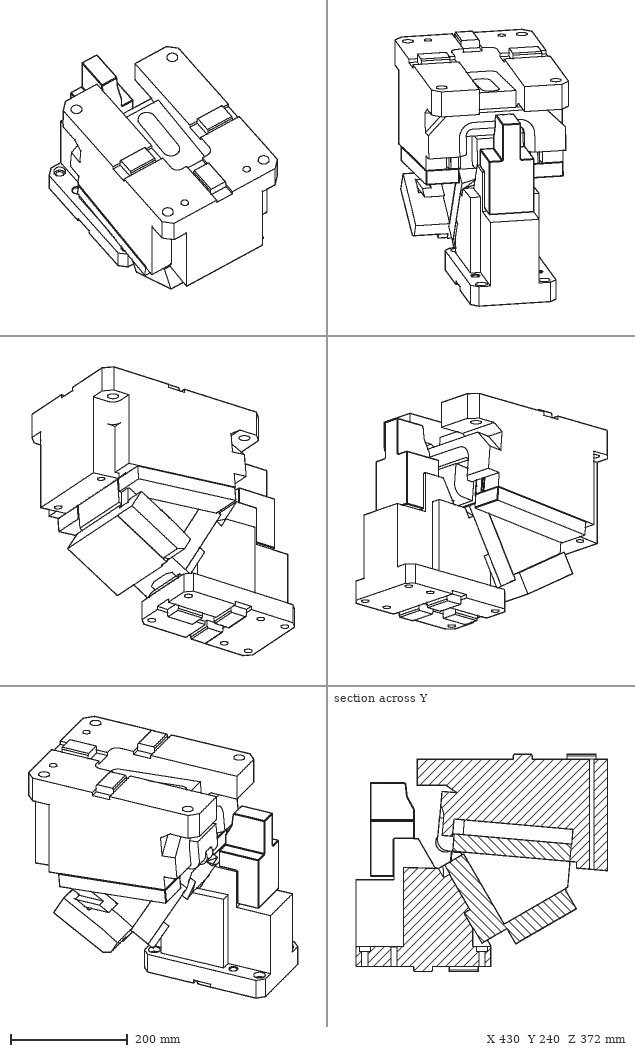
import cadquery as cq
import math

SLIDE_TILT = math.radians(5)
RAMP_TILT = math.radians(60)
THROUGH = 860

TOTAL_HEIGHT = 372.0

KEY_LENGTH = 50.5
KEY_WIDTH = 32.5
KEY_PROUD = 8.5
KEY_SEAT_DEPTH = 6.0
KEY_BEVEL = 1.7
KEY_BEVEL_HEIGHT = 3.0

FOOT_LENGTH = 230.5
FOOT_HALF = 75.0
FOOT_TOP = 43.5
FOOT_CORNER = 12.0
COLUMN_HALF = 42.5
CHEEK_HALF = 60.0
CHEEK_LEFT = 81.0
CHEEK_RIGHT = 200.0
CHEEK_TOP = 178.5
LEDGE_TOP = 157.5
STEP_X = 65.0
COLUMN_TOP = 227.5
COLUMN_TOP_RIGHT = 106.5
CROSS_KEY_X = 115.0
CROSS_KEY_INNER = 10.5
LONG_KEY_X = 159.0
FOOT_BOLT_INSET = 15.0
FOOT_BOLT_Y = 55.0
FOOT_BOLT_D = 13.5
FOOT_BORE_D = 19.8
FOOT_BORE_DEPTH = 8.5
FOOT_DOWEL_X = 65.0
FOOT_DOWEL_D = 13.0
FOOT_DOWEL_CHAMFER = 1.5

ANVIL_LEFT = 24.5
ANVIL_RIGHT = 99.8
ANVIL_BOTTOM = 163.0
ANVIL_SHOULDER = 258.5
ANVIL_TOP = 323.5
ANVIL_SLOPE_FOOT = 277.5
ANVIL_BEND = (87.7, 299.3)
ANVIL_BROW = (85.0, 322.0)
ANVIL_TOP_RIGHT = 80.5
ANVIL_HALF = 39.5
STEM_HALF = 16.0
ANVIL_CHAMFER = 1.5

RAMP_X = 151.0
RAMP_Z = 182.5
RELIEF_DEPTH = 11.5
RELIEF_INNER = 31.5
UPPER_RELIEF_END = 18.5
LOWER_RELIEF_START = 88.5
RIDGE_HALF = 18.0
RIDGE_HEIGHT = 13.5
RAMP_LENGTH = 148.0

SLAB_THICKNESS = 38.3
SLAB_HALF = 59.8
WEDGE_HALF = 59.0
TUNNEL_HALF = 60.0
RISER_FRONT = 17.5
RISER_TOP = 55.0
WING_HALF = 79.0
WING_SETBACK = 2.0
WING_PAD_INNER = 62.8
WING_PAD_OUTER = 76.0
WING_HEIGHT = 30.0
GUIDE_LENGTH = 204.0
TAIL_U = 138.5
TAIL_END_U = 178.0
TAIL_END_V = 158.2
BRACKET_SIDE = 118.2
BRACKET_END_U = 177.0
BRACKET_BEVEL = 10.8
BRACKET_RAKE_U = 2.5
BRACKET_RAKE_V = 34.0
LIP_START_U = 167.3
LIP_SETBACK = 1.7
PUNCH_HALF = 35.3
PUNCH_REACH = 25.5
PUNCH_ROUND = 19.5
BUMP_HALF = 10.8
BUMP_R = 16.8
BUMP_PROUD = 2.5

GUIDE_X = 163.0
GUIDE_Z = 206.0
HOLDER_LEFT = 104.5
HOLDER_RIGHT = 430
HOLDER_HALF = 120.0
HOLDER_TOP = TOTAL_HEIGHT - KEY_PROUD
FLANGE_BOTTOM = 318.5
FLANGE_CORNER = 14.5
GUSSET_X = 153.5
BODY_RIGHT = 384.5
NOSE_REACH = 25.0
NOSE_BOTTOM = 25.5
NOSE_TOP = 100.5
NOSE_CORNER = 34.5
BACK_WALL_LEFT = 376.5
BACK_WALL_HALF = 79.0
BACK_WALL_BOTTOM = -10.5
WEB_R = 16.5
WEB_BOTTOM = 275.0
ROOF = 130.0
POCKET_HALF = 39.5
POCKET_RIGHT = 339.5
POCKET_FILLET = 13.0
SLOT_START = 8.0
SLOT_END = 109.5
SLOT_WIDTH = 30.5
MOUTH_HALF = 66.0
MOUTH_TOP = 84.3
MOUTH_ROUND = 26.2
MOUTH_FLARE = 15.0
WING_SLOT_HALF = 84.0
KEEPER_INNER = 62.0
KEEPER_THICKNESS = 25.5
KEEPER_CHAMFER = 1.5
HOLDER_CROSS_KEY_X = 285.0
HOLDER_CROSS_KEY_INNER = 55.0
HOLDER_LONG_KEY_X = 360.5
BOLT_X = (130.0, 403.5)
BOLT_Y = 99.8
BOLT_D = 18.5
DOWEL_Y = 64.5
DOWEL_D = 12.5

HOOK_RIGHT = 359.0
HOOK_FRONT = 357.0
HOOK_ROOT = 164.3
HOOK_SIDE = 81.3
HOOK_TOE = 96.8
HOOK_TOE_TOP = 131.0
HOOK_BOTTOM = 121.0
HOOK_GAP = 2.5


def ramp(u, v):
    """XZ point at distance u down the ramp and v out of it."""
    c, s = math.cos(RAMP_TILT), math.sin(RAMP_TILT)
    return RAMP_X + u * c + v * s, RAMP_Z - u * s + v * c


def guide(p, q):
    """XZ point at distance p along the holder guide and q above it."""
    c, s = math.cos(SLIDE_TILT), math.sin(SLIDE_TILT)
    return GUIDE_X + p * c + q * s, GUIDE_Z - p * s + q * c


def crossing(a, b, c, d):
    """Point where the line through a and b meets the line through c and d."""
    abx, abz = b[0] - a[0], b[1] - a[1]
    cdx, cdz = d[0] - c[0], d[1] - c[1]
    t = ((c[0] - a[0]) * cdz - (c[1] - a[1]) * cdx) / (abx * cdz - abz * cdx)
    return a[0] + t * abx, a[1] + t * abz


def plate(points, y_from, y_to):
    """XZ outline extruded between two Y positions."""
    return cq.Workplane("XZ", origin=(0, y_from, 0)).polyline(points).close().extrude(y_from - y_to)


def sheet(points, half):
    return plate(points, -half, half)


def along_ramp(outline, u_from, u_to):
    """Outline in Y and v, extruded down the ramp between two u positions."""
    x, z = ramp(u_from, 0)
    plane = cq.Plane(origin=(x, 0, z), xDir=(0, 1, 0),
                     normal=(math.cos(RAMP_TILT), 0, -math.sin(RAMP_TILT)))
    return cq.Workplane(plane).polyline(outline).close().extrude(u_to - u_from)


def block(x_from, x_to, y_from, y_to, z_from, z_to):
    size = (x_to - x_from, y_to - y_from, z_to - z_from)
    return cq.Workplane("XY").box(*size, centered=False).translate((x_from, y_from, z_from))


def rectangle(frame, a_from, a_to, b_from, b_to):
    """Four XZ corners of a rectangle in the ramp or the guide frame."""
    return [frame(a_from, b_from), frame(a_to, b_from), frame(a_to, b_to), frame(a_from, b_to)]


def key():
    """Locating key, lengthwise in X, centred in plan, with its seat at z = -KEY_SEAT_DEPTH."""
    half = KEY_WIDTH / 2
    top = half - KEY_BEVEL
    shoulder = KEY_PROUD - KEY_BEVEL_HEIGHT
    outline = [
        (-half, -KEY_SEAT_DEPTH), (half, -KEY_SEAT_DEPTH), (half, shoulder),
        (top, KEY_PROUD), (-top, KEY_PROUD), (-half, shoulder),
    ]
    return (
        cq.Workplane("YZ", origin=(-KEY_LENGTH / 2, 0, 0)).polyline(outline).close().extrude(KEY_LENGTH)
    )


def add_keys(body, cross_x, cross_inner, long_x, seat_left, right, half, face_z, upward):
    """Cut the key seats into a mounting face and set two crosswise keys and one lengthwise key."""
    seat = KEY_WIDTH / 2
    depth = -KEY_SEAT_DEPTH if upward else KEY_SEAT_DEPTH
    low, high = sorted((face_z, face_z + depth))
    body = body.cut(block(cross_x - seat, cross_x + seat, -half, half, low, high))
    body = body.cut(block(seat_left, right, -seat, seat, low, high))
    shape = key() if upward else key().rotate((0, 0, 0), (1, 0, 0), 180)
    body = body.union(shape.translate((long_x + KEY_LENGTH / 2, 0, face_z)))
    crosswise = shape.rotate((0, 0, 0), (0, 0, 1), 90)
    for side in (-1, 1):
        body = body.union(crosswise.translate((cross_x, side * (cross_inner + KEY_LENGTH / 2), face_z)))
    return body


def make_foot():
    foot = block(0, FOOT_LENGTH, -FOOT_HALF, FOOT_HALF, KEY_PROUD, FOOT_TOP)
    foot = foot.edges("|Z").chamfer(FOOT_CORNER)
    bolts = [(x, y) for x in (FOOT_BOLT_INSET, FOOT_LENGTH - FOOT_BOLT_INSET)
             for y in (-FOOT_BOLT_Y, FOOT_BOLT_Y)]
    foot = (
        foot.faces(">Z").workplane(origin=(0, 0, FOOT_TOP)).pushPoints(bolts)
        .cboreHole(FOOT_BOLT_D, FOOT_BORE_D, FOOT_BORE_DEPTH)
    )
    dowels = [(FOOT_DOWEL_X, y) for y in (-FOOT_BOLT_Y, FOOT_BOLT_Y)]
    foot = (
        foot.faces(">Z").workplane(origin=(0, 0, FOOT_TOP)).pushPoints(dowels)
        .cskHole(FOOT_DOWEL_D, FOOT_DOWEL_D + 2 * FOOT_DOWEL_CHAMFER, 90)
    )
    return add_keys(foot, CROSS_KEY_X, CROSS_KEY_INNER, LONG_KEY_X, CROSS_KEY_X,
                    FOOT_LENGTH, FOOT_HALF, KEY_PROUD, upward=False)


def make_ridge():
    """Ridge that guides the slide along the ramp, with sides sloping out to the cheeks."""
    outline = [
        (-CHEEK_HALF, 0), (-RIDGE_HALF, RIDGE_HEIGHT), (RIDGE_HALF, RIDGE_HEIGHT), (CHEEK_HALF, 0),
    ]
    return along_ramp(outline, 0, RAMP_LENGTH)


def relief(side, u_from, u_to):
    """Strip along one side of the ramp, with its floor parallel to the side of the ridge."""
    rise = RIDGE_HEIGHT * (CHEEK_HALF - RELIEF_INNER) / (CHEEK_HALF - RIDGE_HALF)
    outline = [
        (side * CHEEK_HALF, -RELIEF_DEPTH), (side * RELIEF_INNER, rise - RELIEF_DEPTH),
        (side * RELIEF_INNER, rise), (side * CHEEK_HALF, 0),
    ]
    return along_ramp(outline, u_from, u_to)


def upper_relief(side):
    """Relief at the upper end of the ramp, its end wall running obliquely out to the cheek."""
    x, z = ramp(0, -RELIEF_DEPTH)
    plane = cq.Plane(origin=(x, 0, z), xDir=(0, 1, 0),
                     normal=(math.sin(RAMP_TILT), 0, math.cos(RAMP_TILT)))
    outline = [(side * RELIEF_INNER, 0), (side * CHEEK_HALF, 0), (side * CHEEK_HALF, -UPPER_RELIEF_END)]
    corner = cq.Workplane(plane).polyline(outline).close().extrude(RELIEF_DEPTH + RIDGE_HEIGHT)
    return relief(side, 0, UPPER_RELIEF_END).intersect(corner)


def lower_relief(side):
    return relief(side, LOWER_RELIEF_START, RAMP_LENGTH)


def make_column():
    foot_line = ((0, FOOT_TOP), (FOOT_LENGTH, FOOT_TOP))
    ramp_foot = crossing(ramp(0, 0), ramp(RAMP_LENGTH, 0), *foot_line)
    edge = [ramp(0, -RELIEF_DEPTH), ramp(0, 0), ramp_foot]
    slope_foot = COLUMN_TOP_RIGHT + (COLUMN_TOP - CHEEK_TOP) / math.tan(RAMP_TILT)
    column = sheet([
        (0, FOOT_TOP), (0, LEDGE_TOP), (STEP_X, LEDGE_TOP), (STEP_X, COLUMN_TOP),
        (COLUMN_TOP_RIGHT, COLUMN_TOP), (slope_foot, CHEEK_TOP), *edge,
    ], COLUMN_HALF)
    cheeks = sheet([(CHEEK_LEFT, FOOT_TOP), (CHEEK_LEFT, CHEEK_TOP), *edge], CHEEK_HALF)
    trim = block(CHEEK_LEFT, CHEEK_RIGHT, -CHEEK_HALF, CHEEK_HALF, FOOT_TOP, COLUMN_TOP)
    column = column.union(cheeks.intersect(trim)).union(make_ridge())
    for side in (-1, 1):
        column = column.cut(upper_relief(side)).cut(lower_relief(side))
    return column


def make_anvil():
    outline = [
        (ANVIL_LEFT, ANVIL_BOTTOM), (STEP_X, ANVIL_BOTTOM), (STEP_X, COLUMN_TOP),
        (ANVIL_RIGHT, COLUMN_TOP), (ANVIL_RIGHT, ANVIL_SLOPE_FOOT), ANVIL_BEND, ANVIL_BROW,
        (ANVIL_TOP_RIGHT, ANVIL_TOP), (ANVIL_LEFT, ANVIL_TOP),
    ]
    anvil = sheet(outline, ANVIL_HALF)
    for side in (-1, 1):
        y_from, y_to = sorted((side * STEM_HALF, side * ANVIL_HALF))
        anvil = anvil.cut(block(ANVIL_LEFT, ANVIL_RIGHT, y_from, y_to, ANVIL_SHOULDER, ANVIL_TOP))
    return anvil.edges().chamfer(ANVIL_CHAMFER)


def make_base():
    return make_foot().union(make_column()).union(make_anvil())


def make_wedge():
    """Slab on the ramp, and the riser that fills the corner between the ramp and the guide."""
    slab = sheet(rectangle(ramp, 0, RAMP_LENGTH, 0, SLAB_THICKNESS), SLAB_HALF)
    front = (guide(RISER_FRONT, 0), guide(RISER_FRONT, RISER_TOP))
    back = (guide(GUIDE_LENGTH, 0), guide(GUIDE_LENGTH, RISER_TOP))
    riser = sheet([
        ramp(0, 4.5), crossing(*front, ramp(0, 0), ramp(0, 4.5)), front[1], back[1],
        crossing(*back, ramp(TAIL_U, 0), ramp(TAIL_U, 4.5)), ramp(TAIL_U, 4.5),
    ], WEDGE_HALF)
    return slab.union(riser)


def make_wings():
    """Wings that run in the holder guide, each with a raised pad on its front."""
    wings = cq.Workplane()
    for side in (-1, 1):
        y_from, y_to = sorted((side * WEDGE_HALF, side * WING_HALF))
        wing = plate(rectangle(guide, WING_SETBACK, GUIDE_LENGTH, 0, WING_HEIGHT), y_from, y_to)
        y_from, y_to = sorted((side * WING_PAD_INNER, side * WING_PAD_OUTER))
        pad = plate(rectangle(guide, 0, WING_SETBACK, 0, WING_HEIGHT), y_from, y_to)
        wings = wings.add(wing.union(pad))
    return wings.combine()


def make_punch():
    """Punch head on the front of the riser, rounded below, with a small bump in its middle."""
    punch = sheet(rectangle(guide, -PUNCH_REACH, RISER_FRONT, 0, RISER_TOP), PUNCH_HALF)
    punch = punch.edges("|Y").edges("<X").fillet(PUNCH_ROUND)
    x, z = guide(BUMP_R - PUNCH_REACH - BUMP_PROUD, BUMP_R - BUMP_PROUD)
    bump = cq.Workplane("XZ", origin=(x, BUMP_HALF, z)).circle(BUMP_R).extrude(2 * BUMP_HALF)
    return punch.union(bump)


def make_bracket():
    """Return bracket on the +Y side of the tail, with the groove that holds the hook."""
    front = SLAB_THICKNESS
    bracket = plate([
        ramp(TAIL_U + BRACKET_RAKE_U, front), ramp(TAIL_U, front + BRACKET_RAKE_V),
        ramp(TAIL_U, TAIL_END_V), ramp(BRACKET_END_U, TAIL_END_V),
        ramp(BRACKET_END_U, front + BRACKET_BEVEL), ramp(BRACKET_END_U - BRACKET_BEVEL, front),
    ], WEDGE_HALF, BRACKET_SIDE)
    entry = HOOK_TOE_TOP + HOOK_GAP
    floor = HOOK_BOTTOM - HOOK_GAP
    bracket = bracket.cut(block(0, HOLDER_RIGHT, WEDGE_HALF, HOOK_SIDE + HOOK_GAP, entry, HOLDER_TOP))
    return bracket.cut(block(0, HOOK_RIGHT, WEDGE_HALF, HOOK_TOE + HOOK_GAP, floor, entry))


def make_tail():
    """Tail block below the riser, with its lip under the return bracket."""
    tail = plate(rectangle(ramp, TAIL_U, TAIL_END_U, SLAB_THICKNESS, TAIL_END_V), -FOOT_HALF, WEDGE_HALF)
    lip_corners = rectangle(ramp, LIP_START_U, TAIL_END_U, SLAB_THICKNESS + LIP_SETBACK, TAIL_END_V)
    return tail.union(plate(lip_corners, WEDGE_HALF, FOOT_HALF)).union(make_bracket())


def make_slide():
    slide = make_wedge().cut(make_ridge())
    for side in (-1, 1):
        slide = slide.union(lower_relief(side))
    return slide.union(make_wings()).union(make_punch()).union(make_tail())


def make_holder_body():
    flange = block(HOLDER_LEFT, HOLDER_RIGHT, -HOLDER_HALF, HOLDER_HALF, FLANGE_BOTTOM, HOLDER_TOP)
    flange = flange.edges("|Z").chamfer(FLANGE_CORNER)
    front_top = guide(0, NOSE_TOP)
    right = ((BODY_RIGHT, 0), (BODY_RIGHT, 1))
    lower_corner = crossing(guide(0, 0), guide(4.5, 0), *right)
    body = sheet([
        guide(0, 0), lower_corner, (BODY_RIGHT, FLANGE_BOTTOM), (GUSSET_X, FLANGE_BOTTOM), front_top,
    ], HOLDER_HALF)
    return flange.union(body).union(make_nose()).union(make_back_wall())


def make_nose():
    """Front plate square to the guide, with its two upper corners cut off at 45 degrees."""
    nose = sheet(rectangle(guide, -NOSE_REACH, 0, NOSE_BOTTOM, NOSE_TOP), HOLDER_HALF)
    front = guide(-NOSE_REACH, 0)
    plane = cq.Plane(origin=(front[0], 0, front[1]), xDir=(0, 1, 0),
                     normal=(math.cos(SLIDE_TILT), 0, -math.sin(SLIDE_TILT)))
    for side in (-1, 1):
        corner = [
            (side * HOLDER_HALF, NOSE_TOP), (side * (HOLDER_HALF - NOSE_CORNER), NOSE_TOP),
            (side * HOLDER_HALF, NOSE_TOP - NOSE_CORNER),
        ]
        nose = nose.cut(cq.Workplane(plane).polyline(corner).close().extrude(NOSE_REACH))
    return nose


def make_back_wall():
    left = ((BACK_WALL_LEFT, 0), (BACK_WALL_LEFT, 1))
    right = ((HOLDER_RIGHT, 0), (HOLDER_RIGHT, 1))
    low = (guide(0, BACK_WALL_BOTTOM), guide(4.5, BACK_WALL_BOTTOM))
    wall = sheet([
        crossing(*low, *left), crossing(*low, *right), (HOLDER_RIGHT, FLANGE_BOTTOM),
        (BACK_WALL_LEFT, FLANGE_BOTTOM),
    ], BACK_WALL_HALF)
    for side in (-1, 1):
        outer = side * (BACK_WALL_HALF + WEB_R)
        y_from, y_to = sorted((side * BACK_WALL_HALF, outer))
        web = block(BODY_RIGHT, BODY_RIGHT + WEB_R, y_from, y_to, WEB_BOTTOM, FLANGE_BOTTOM)
        hollow = (
            cq.Workplane("XY", origin=(BODY_RIGHT + WEB_R, outer, WEB_BOTTOM))
            .circle(WEB_R).extrude(FLANGE_BOTTOM - WEB_BOTTOM)
        )
        wall = wall.union(web.cut(hollow))
    return wall


def cut_top_pocket(holder):
    """Open pocket in the top, stepped down over the nose, and the long slot in its floor."""
    outline = block(HOLDER_LEFT, POCKET_RIGHT, -POCKET_HALF, POCKET_HALF, 0, HOLDER_TOP)
    outline = outline.edges("|Z and >X").fillet(POCKET_FILLET)
    over_nose = sheet(rectangle(guide, -THROUGH, 0, NOSE_TOP, THROUGH), POCKET_HALF)
    over_roof = sheet(rectangle(guide, 0, THROUGH, ROOF, THROUGH), POCKET_HALF)
    holder = holder.cut(outline.intersect(over_nose.union(over_roof)))
    x, z = guide((SLOT_START + SLOT_END) / 2, RISER_TOP)
    plane = cq.Plane(origin=(x, 0, z), xDir=(math.cos(SLIDE_TILT), 0, -math.sin(SLIDE_TILT)),
                     normal=(math.sin(SLIDE_TILT), 0, math.cos(SLIDE_TILT)))
    slot = cq.Workplane(plane).slot2D(SLOT_END - SLOT_START, SLOT_WIDTH).extrude(ROOF - RISER_TOP)
    return holder.cut(slot)


def cut_mouth(holder):
    """Arch through the nose, flared at 45 degrees towards the front."""
    front = guide(-NOSE_REACH, 0)
    plane = cq.Plane(origin=(front[0], 0, front[1]), xDir=(0, -1, 0),
                     normal=(math.cos(SLIDE_TILT), 0, -math.sin(SLIDE_TILT)))
    height = 2 * MOUTH_TOP
    flare = (
        cq.Workplane(plane)
        .sketch().rect(2 * MOUTH_HALF, height).vertices().fillet(MOUTH_ROUND).finalize()
        .extrude(MOUTH_FLARE, taper=45)
    )
    throat = (
        cq.Workplane(plane)
        .sketch().rect(2 * (MOUTH_HALF - MOUTH_FLARE), height - 2 * MOUTH_FLARE)
        .vertices().fillet(MOUTH_ROUND - MOUTH_FLARE).finalize()
        .extrude(NOSE_REACH)
    )
    return holder.cut(flare).cut(throat)


def cut_guide(holder):
    """T-shaped tunnel for the riser and the wings of the slide."""
    tunnel = sheet(rectangle(guide, 0, GUIDE_LENGTH, -KEEPER_THICKNESS, RISER_TOP), TUNNEL_HALF)
    wing_slot = sheet(rectangle(guide, 0, GUIDE_LENGTH, 0, WING_HEIGHT), WING_SLOT_HALF)
    return holder.cut(tunnel).cut(wing_slot)


def make_keeper(side):
    """Bar under one side of the holder that carries a wing of the slide."""
    y_from, y_to = sorted((side * KEEPER_INNER, side * HOLDER_HALF))
    keeper = plate(rectangle(guide, 0, GUIDE_LENGTH, -KEEPER_THICKNESS, 0), y_from, y_to)
    return keeper.faces("<X or >Z").edges().chamfer(KEEPER_CHAMFER)


def make_hook():
    """Return hook under the +Y keeper, with its front cut square to the ramp."""
    run = (HOOK_ROOT - HOOK_BOTTOM) * math.tan(RAMP_TILT)
    rise = (HOOK_RIGHT - HOOK_FRONT) / math.tan(RAMP_TILT)
    outline = [
        (HOOK_FRONT - run, HOOK_BOTTOM), (HOOK_RIGHT, HOOK_BOTTOM), (HOOK_RIGHT, HOOK_ROOT + rise),
        (HOOK_FRONT, HOOK_ROOT),
    ]
    hook = plate(outline, KEEPER_INNER, HOOK_TOE)
    return hook.cut(block(0, HOLDER_RIGHT, HOOK_SIDE, HOOK_TOE, HOOK_TOE_TOP, HOLDER_TOP))


def make_holder():
    holder = cut_guide(cut_mouth(cut_top_pocket(make_holder_body())))
    holder = add_keys(holder, HOLDER_CROSS_KEY_X, HOLDER_CROSS_KEY_INNER, HOLDER_LONG_KEY_X, POCKET_RIGHT,
                      HOLDER_RIGHT, HOLDER_HALF, HOLDER_TOP, upward=True)
    bolts = [(x, y) for x in BOLT_X for y in (-BOLT_Y, BOLT_Y)]
    dowels = [(BOLT_X[1], y) for y in (-DOWEL_Y, DOWEL_Y)]
    top = cq.Workplane("XY", origin=(0, 0, HOLDER_TOP))
    holder = holder.cut(top.pushPoints(bolts).circle(BOLT_D / 2).extrude(FLANGE_BOTTOM - HOLDER_TOP))
    holder = holder.cut(top.pushPoints(dowels).circle(DOWEL_D / 2).extrude(-THROUGH))
    for side in (-1, 1):
        holder = holder.union(make_keeper(side))
    return holder.union(make_hook())


base = make_base()
slide = make_slide()
holder = make_holder()

result = cq.Compound.makeCompound([base.solids().val(), slide.solids().val(), holder.solids().val()])